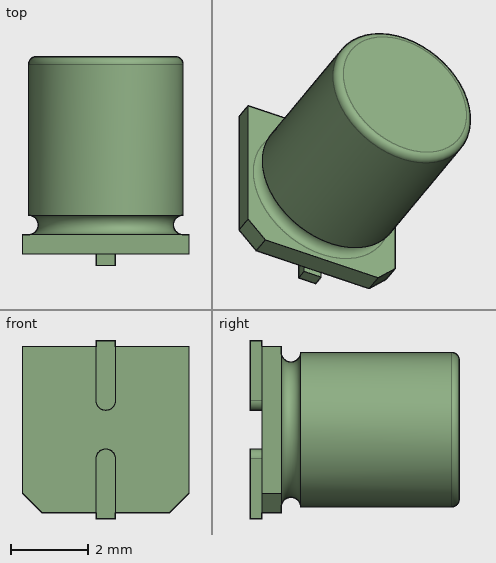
import cadquery as cq

total_length = 5.4
base_side = 4.3
base_thickness = 0.5
base_corner_cut = 0.5

lead_span = 4.6
lead_width = 0.5
lead_thickness = 0.3
lead_gap = 1.0

can_radius = 2.0
can_edge_radius = 0.2
groove_radius = 0.25

lead_face = -total_length / 2
base_front = lead_face + lead_thickness
base_back = base_front + base_thickness
can_end = total_length / 2
groove_end = base_back + 2 * groove_radius


def make_base():
    """Square plate with its two lower corners cut off."""
    plate = cq.Workplane("XY").box(base_side, base_thickness, base_side)
    plate = plate.faces("<Z").edges("|Y").chamfer(base_corner_cut)
    return plate.translate((0, base_front + base_thickness / 2, 0))


def make_can():
    """Round can with a rounded far edge and a half-round groove next to the base."""
    profile = (
        cq.Workplane("XY")
        .moveTo(0, base_back)
        .lineTo(can_radius, base_back)
        .threePointArc(
            (can_radius - groove_radius, base_back + groove_radius),
            (can_radius, groove_end),
        )
        .lineTo(can_radius, can_end)
        .lineTo(0, can_end)
        .close()
    )
    can = profile.revolve(360, (0, 0, 0), (0, 1, 0))
    return can.faces(">Y").edges().fillet(can_edge_radius)


def make_lead(side):
    """Flat lead with a round inner end; side is +1 for upper, -1 for lower."""
    half_width = lead_width / 2
    inner_tip = side * lead_gap / 2
    round_start = side * (lead_gap / 2 + half_width)
    outer_end = side * lead_span / 2
    return (
        cq.Workplane("XZ", origin=(0, base_front, 0))
        .moveTo(-half_width, outer_end)
        .lineTo(-half_width, round_start)
        .threePointArc((0, inner_tip), (half_width, round_start))
        .lineTo(half_width, outer_end)
        .close()
        .extrude(lead_thickness)
    )


result = make_base().union(make_can())
for lead_side in (1, -1):
    result = result.union(make_lead(lead_side))